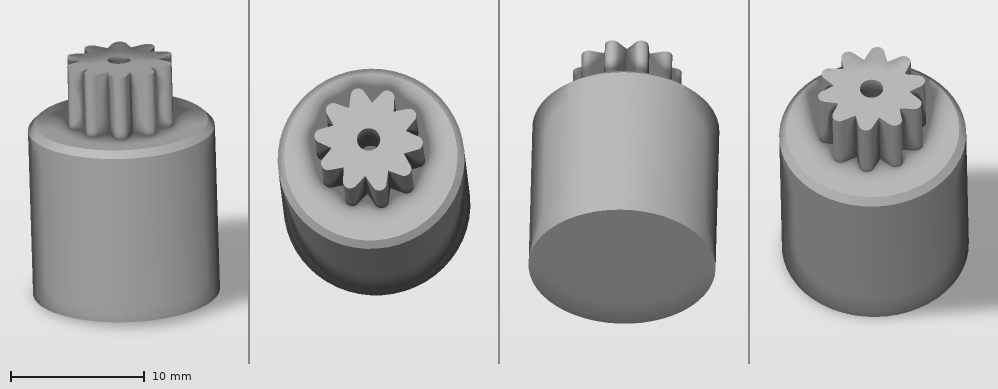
import cadquery as cq
import math

overall_height = 18.74

body_diameter = 14.0
body_chamfer = 0.5

tooth_count = 10
tip_radius = 4.07
root_radius = 2.85
tip_round = 0.55
pinion_height = 4.87
bore_diameter = 1.75

lean_angle = 2.1

half_pitch = math.pi / tooth_count
round_center = tip_radius - tip_round

lean = math.radians(lean_angle)
pinion_reach_x = round_center * math.cos(half_pitch) + tip_round
lean_rise = (body_diameter / 2 + pinion_reach_x) * math.sin(lean)
body_height = (overall_height - lean_rise) / math.cos(lean) - pinion_height


def polar(radius, angle):
    return (radius * math.cos(angle), radius * math.sin(angle))


def pinion_outline():
    """Straight flanks run from sharp roots tangent to rounded tooth tips."""
    root_x, root_y = polar(root_radius, half_pitch)
    root_to_center = math.hypot(round_center - root_x, root_y)
    tangent_spread = math.asin(tip_round / root_to_center)
    flank_angle = math.atan2(root_y, round_center - root_x) - tangent_spread
    tangent_x = round_center + tip_round * math.sin(flank_angle)
    tangent_y = tip_round * math.cos(flank_angle)
    tangent_radius = math.hypot(tangent_x, tangent_y)
    tangent_angle = math.atan2(tangent_y, tangent_x)

    first_tooth = math.pi / 2
    outline = cq.Workplane("XY", origin=(0, 0, body_height))
    outline = outline.moveTo(*polar(root_radius, first_tooth - half_pitch))
    for tooth in range(tooth_count):
        middle = first_tooth + 2 * half_pitch * tooth
        outline = outline.lineTo(*polar(tangent_radius, middle - tangent_angle))
        outline = outline.threePointArc(
            polar(tip_radius, middle), polar(tangent_radius, middle + tangent_angle)
        )
        if tooth < tooth_count - 1:
            outline = outline.lineTo(*polar(root_radius, middle + half_pitch))
    return outline.close()


body = cq.Workplane("XY").circle(body_diameter / 2).extrude(body_height)
body = body.faces(">Z").edges().chamfer(body_chamfer)

pinion = pinion_outline().extrude(pinion_height)

bore = (
    cq.Workplane("XY", origin=(0, 0, body_height))
    .circle(bore_diameter / 2)
    .extrude(pinion_height)
)

result = body.union(pinion).cut(bore).rotate((0, 0, 0), (0, 1, 0), -lean_angle)